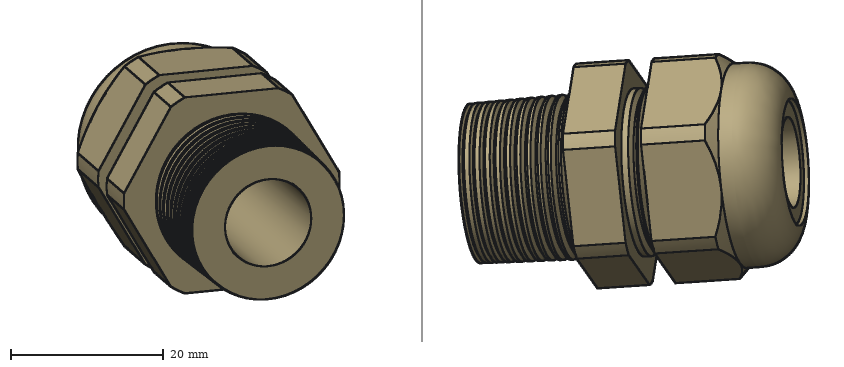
import cadquery as cq
import math


overall_length = 42.95
across_flats = 26.9
across_corners = 29.9
flat_radius = across_flats / 2
corner_radius = across_corners / 2
bore_radius = 5.95

mouth_radius = 8.35
seat_radius = 8.2
mouth_depth = 0.6
dome_length = 5.55
cap_hex_start = 7.43
cap_end = 17.47

spigot_start = 7.35
spigot_radius = 11.2
collar_radius = 11.08
collar_start = 19.75
body_hex_start = 20.95
body_hex_end = 27.95

flank_angle = 30.0
spigot_root_radius = 10.17
spigot_first_root = 18.1
spigot_groove_count = 2
tail_root_radius = 9.95
tail_neck_radius = 10.15
tail_first_root = 28.55
tail_last_root = 42.5
tail_groove_count = 11
tail_start_radius = 10.9
tail_end_radius = 10.5
groove_clearance = 0.45
pitch = (tail_last_root - tail_first_root) / (tail_groove_count - 1)


def revolve_about_x(profile):
    """Revolve a closed (x, radius) profile about the X axis."""
    return profile.close().revolve(360, (0, 0, 0), (1, 0, 0))


def cylinder(radius, start, end):
    """Round bar on the X axis."""
    return cq.Workplane("YZ").workplane(offset=start).circle(radius).extrude(end - start)


def hexagon_bar(start, end):
    """Hexagon with flats facing +Z and -Z, its corners turned down to a cylinder."""
    hexagon_diameter = across_flats / math.cos(math.radians(30))
    hexagon = cq.Workplane("YZ").workplane(offset=start).polygon(6, hexagon_diameter).extrude(end - start)
    return hexagon.intersect(cylinder(corner_radius, start, end))


def cut_thread(blank, first_root, count, root_radius, crest_radius):
    """Cut evenly spaced V-shaped rings into a round blank."""
    outer_radius = crest_radius + groove_clearance
    half_width = (outer_radius - root_radius) * math.tan(math.radians(flank_angle))
    for index in range(count):
        root = first_root + index * pitch
        groove = revolve_about_x(
            cq.Workplane("XY")
            .moveTo(root, root_radius)
            .lineTo(root + half_width, outer_radius)
            .lineTo(root - half_width, outer_radius)
        )
        blank = blank.cut(groove)
    return blank


def dome_arc_middle():
    """Middle of the dome arc, which ends tangent to the cylindrical band."""
    rise = flat_radius - mouth_radius
    arc_radius = (dome_length**2 + rise**2) / (2 * rise)
    half_sweep = math.asin(dome_length / arc_radius) / 2
    x = dome_length - arc_radius * math.sin(half_sweep)
    radius = flat_radius - arc_radius * (1 - math.cos(half_sweep))
    return x, radius


def make_cap_nut():
    dome = revolve_about_x(
        cq.Workplane("XY")
        .moveTo(mouth_depth, 0)
        .lineTo(mouth_depth, seat_radius)
        .lineTo(0, mouth_radius)
        .threePointArc(dome_arc_middle(), (dome_length, flat_radius))
        .lineTo(cap_hex_start, flat_radius)
        .lineTo(cap_hex_start, 0)
    )

    chamfer = corner_radius - flat_radius
    chamfer_envelope = revolve_about_x(
        cq.Workplane("XY")
        .moveTo(cap_hex_start, 0)
        .lineTo(cap_hex_start, flat_radius)
        .lineTo(cap_hex_start + chamfer, corner_radius)
        .lineTo(cap_end, corner_radius)
        .lineTo(cap_end, 0)
    )
    hexagon = hexagon_bar(cap_hex_start, cap_end).intersect(chamfer_envelope)

    bore = cylinder(bore_radius, 0, cap_end)
    socket = cylinder(spigot_radius, spigot_start, cap_end)
    return dome.union(hexagon).cut(bore).cut(socket)


def make_gland_body():
    spigot = cylinder(spigot_radius, spigot_start, collar_start)
    spigot = spigot.union(cylinder(collar_radius, collar_start, body_hex_start))
    spigot = cut_thread(spigot, spigot_first_root, spigot_groove_count, spigot_root_radius, spigot_radius)

    tail = revolve_about_x(
        cq.Workplane("XY")
        .moveTo(body_hex_end, 0)
        .lineTo(body_hex_end, tail_neck_radius)
        .lineTo(tail_first_root, tail_neck_radius)
        .lineTo(tail_first_root, tail_start_radius)
        .lineTo(overall_length, tail_end_radius)
        .lineTo(overall_length, 0)
    )
    tail = cut_thread(tail, tail_first_root, tail_groove_count, tail_root_radius, tail_start_radius)

    hexagon = hexagon_bar(body_hex_start, body_hex_end)
    bore = cylinder(bore_radius, spigot_start, overall_length)
    return spigot.union(hexagon).union(tail).cut(bore)


cap_nut = make_cap_nut()
gland_body = make_gland_body()

result = cq.Compound.makeCompound([cap_nut.solids().val(), gland_body.solids().val()])